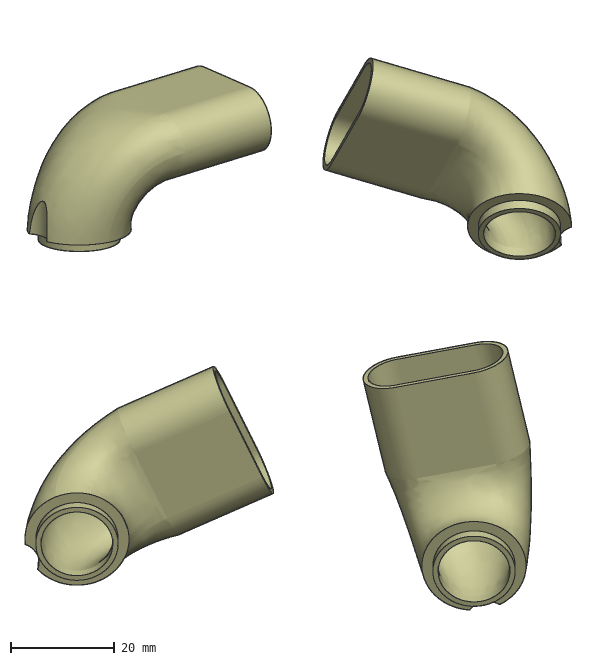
import cadquery as cq
import math

bend_radius = 16.45
bend_angle = 85.0

tube_width = 28.5
tube_height = 12.98
tube_length = 20.0
wall = 1.0

seat_diameter = 20.0
spigot_diameter = 15.8
bore_diameter = 13.8
spigot_length = 2.0

scallop_radius = 4.15
scallop_floor_y = -8.35
scallop_height = 13.5

turn = math.radians(bend_angle)
joint_center = (0, bend_radius * (1 - math.cos(turn)), bend_radius * math.sin(turn))
tube_direction = (0, math.sin(turn), math.cos(turn))

seat_plane = cq.Plane(origin=(0, 0, 0), xDir=(1, 0, 0), normal=(0, 0, 1))
joint_plane = cq.Plane(origin=joint_center, xDir=(1, 0, 0), normal=tube_direction)


def bend(diameter, width, height):
    """Solid elbow blending from a circle at the seat to an oval at the joint."""
    path = cq.Workplane("YZ").radiusArc(joint_center[1:], bend_radius)
    circle = cq.Workplane(seat_plane).circle(diameter / 2).wires().val()
    oval = cq.Workplane(joint_plane).slot2D(width, height).wires().val()
    sections = cq.Workplane(seat_plane).add(circle).toPending().add(oval).toPending()
    return sections.sweep(path, multisection=True)


def tube(width, height):
    """Solid straight oval bar leaving the joint."""
    return cq.Workplane(joint_plane).slot2D(width, height).extrude(tube_length)


def spigot(diameter):
    """Solid round bar below the seat."""
    return cq.Workplane(seat_plane).circle(diameter / 2).extrude(-spigot_length)


inner_width = tube_width - 2 * wall
inner_height = tube_height - 2 * wall

outside = bend(seat_diameter, tube_width, tube_height)
outside = outside.union(tube(tube_width, tube_height)).union(spigot(spigot_diameter))

scallop = (
    cq.Workplane(seat_plane)
    .center(0, scallop_floor_y - scallop_radius)
    .circle(scallop_radius)
    .extrude(scallop_height)
)

result = (
    outside.cut(scallop)
    .cut(bend(bore_diameter, inner_width, inner_height))
    .cut(tube(inner_width, inner_height))
    .cut(spigot(bore_diameter))
)